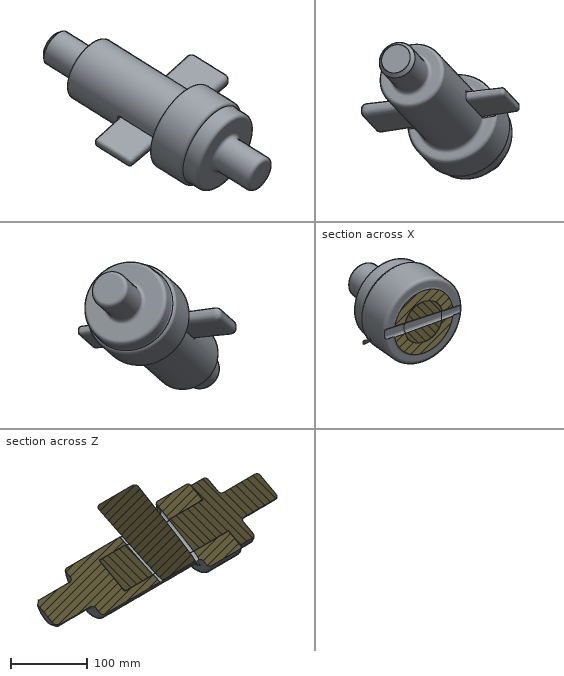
import cadquery as cq
import math


edge = 5.0
total_length = 356.0

rod_radius = 25.0
socket_radius = 45.0
socket_collar_radius = 125.0 / 2
spigot_collar_radius = socket_collar_radius - edge
spigot_radius = 30.0

socket_start = 59.8
socket_collar_start = 217.5
joint_face = 272.5
spigot_collar_end = 296.2
spigot_tip = 106.8

flare_height = 0.9
flare_radius = spigot_collar_radius + flare_height
flare_length = math.sqrt(edge**2 - (edge - flare_height) ** 2)
rim_reach = math.sqrt(edge**2 - flare_height**2)

key_center_x = 183.0
key_core_width = 52.7
key_core_thickness = 3.2
key_narrow_y = -96.5
key_wide_y = 103.5
key_narrow_round = 4.5
key_wide_round = 8.0
end_round_allowance = 0.07

slot_center_x = 183.7
slot_width = 70.5
slot_corner = 4.3


def arc_point(center_x, center_r, angle):
    """Point on a rounding of radius `edge`, angle in degrees from +X towards the outside."""
    turn = math.radians(angle)
    return center_x + edge * math.cos(turn), center_r + edge * math.sin(turn)


def revolve_about_x(profile):
    return profile.close().revolve(360, (0, 0, 0), (1, 0, 0))


def make_tapered_bar(narrow_section, wide_section, center_x):
    """Straight-sided bar from the narrow sketch at -Y to the wide sketch at +Y."""
    key_length = key_wide_y - key_narrow_y
    wide_location = cq.Location(cq.Vector(0, 0, -key_length))
    return (
        cq.Workplane("XZ", origin=(center_x, key_narrow_y, 0))
        .placeSketch(narrow_section, wide_section.moved(wide_location))
        .loft(ruled=True)
    )


def rounded_rectangle(width, height, corner):
    return cq.Sketch().rect(width, height).vertices().fillet(corner)


def key_thickness(rounding):
    return key_core_thickness + 2 * rounding


def make_slot():
    narrow, wide = (
        rounded_rectangle(slot_width, key_thickness(rounding), slot_corner)
        for rounding in (key_narrow_round, key_wide_round)
    )
    return make_tapered_bar(narrow, wide, slot_center_x)


def make_socket():
    profile = (
        cq.Workplane("XY")
        .moveTo(0, 0)
        .lineTo(0, rod_radius - edge)
        .lineTo(edge, rod_radius)
        .lineTo(socket_start - edge, rod_radius)
        .threePointArc(
            arc_point(socket_start - edge, rod_radius + edge, -45),
            (socket_start, rod_radius + edge),
        )
        .lineTo(socket_start, socket_radius - edge)
        .threePointArc(
            arc_point(socket_start + edge, socket_radius - edge, 135),
            (socket_start + edge, socket_radius),
        )
        .lineTo(socket_collar_start - edge, socket_radius)
        .threePointArc(
            arc_point(socket_collar_start - edge, socket_radius + edge, -45),
            (socket_collar_start, socket_radius + edge),
        )
        .lineTo(socket_collar_start, socket_collar_radius - edge)
        .threePointArc(
            arc_point(socket_collar_start + edge, socket_collar_radius - edge, 135),
            (socket_collar_start + edge, socket_collar_radius),
        )
        .lineTo(joint_face - rim_reach, socket_collar_radius)
        .threePointArc(
            arc_point(joint_face - rim_reach, socket_collar_radius - edge, 45),
            (joint_face, flare_radius),
        )
        .lineTo(joint_face, spigot_radius)
        .lineTo(spigot_tip, spigot_radius)
        .lineTo(spigot_tip, 0)
    )
    return revolve_about_x(profile).cut(make_slot())


def make_spigot():
    flare_end = joint_face + flare_length
    flare_half_angle = math.degrees(math.asin(flare_length / edge)) / 2
    profile = (
        cq.Workplane("XY")
        .moveTo(spigot_tip, 0)
        .lineTo(spigot_tip, spigot_radius)
        .lineTo(joint_face, spigot_radius)
        .lineTo(joint_face, flare_radius)
        .threePointArc(
            arc_point(flare_end, spigot_collar_radius + edge, -90 - flare_half_angle),
            (flare_end, spigot_collar_radius),
        )
        .lineTo(spigot_collar_end - edge, spigot_collar_radius)
        .threePointArc(
            arc_point(spigot_collar_end - edge, spigot_collar_radius - edge, 45),
            (spigot_collar_end, spigot_collar_radius - edge),
        )
        .lineTo(spigot_collar_end, rod_radius + edge)
        .threePointArc(
            arc_point(spigot_collar_end + edge, rod_radius + edge, -135),
            (spigot_collar_end + edge, rod_radius),
        )
        .lineTo(total_length - edge, rod_radius)
        .threePointArc(
            arc_point(total_length - edge, rod_radius - edge, 45),
            (total_length, rod_radius - edge),
        )
        .lineTo(total_length, 0)
    )
    return revolve_about_x(profile).cut(make_slot())


def make_key():
    narrow, wide = (
        rounded_rectangle(key_core_width + 2 * rounding, key_thickness(rounding), rounding)
        for rounding in (key_narrow_round, key_wide_round)
    )
    bar = make_tapered_bar(narrow, wide, key_center_x)
    return (
        bar.faces("<Y").edges().fillet(key_narrow_round - end_round_allowance)
        .faces(">Y").edges().fillet(key_wide_round - end_round_allowance)
    )


socket = make_socket()
spigot = make_spigot()
key = make_key()

result = cq.Compound.makeCompound([body.solids().val() for body in (socket, spigot, key)])